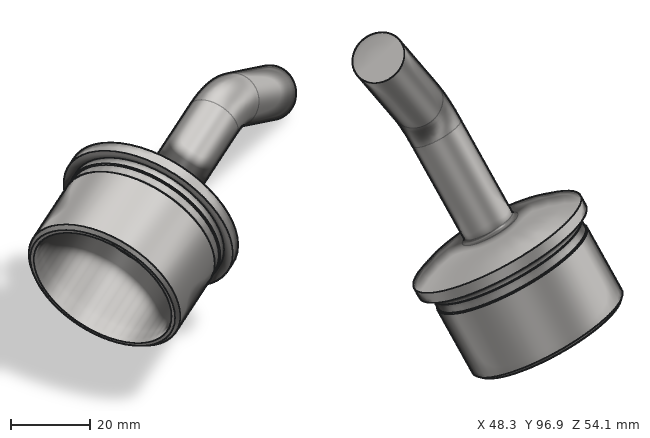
import cadquery as cq
import math

plug_radius = 43.3 / 2
wall = 2.0
rim_chamfer = 1.0
plug_length = 25.0
cavity_depth = plug_length

groove_start = 20.0
groove_width = 3.0
groove_depth = 0.3

flange_radius = 48.3 / 2
flange_thickness = 3.0
dome_height = 4.0
dome_flat_radius = 7.5

rod_radius = 7.0
rod_fillet = 1.0
bend_angle = 45.0
bend_radius = 15.0
overall_length = 96.95
tip_drop = 29.97

flange_top = plug_length + flange_thickness
dome_top = flange_top + dome_height
groove_end = groove_start + groove_width


def dome_mid_point():
    """Point halfway along the dome arc, which leaves the flat top tangentially."""
    span = flange_radius - dome_flat_radius
    arc_radius = (span**2 + dome_height**2) / (2 * dome_height)
    half_sweep = math.asin(span / arc_radius) / 2
    return (
        dome_flat_radius + arc_radius * math.sin(half_sweep),
        dome_top - arc_radius * (1 - math.cos(half_sweep)),
    )


def make_head():
    """Hollow plug, groove, flange and domed cap, turned about the Y axis."""
    bore_radius = plug_radius - wall
    groove_radius = plug_radius - groove_depth
    profile = (
        cq.Workplane("XY")
        .moveTo(0, cavity_depth)
        .lineTo(bore_radius, cavity_depth)
        .lineTo(bore_radius, 0)
        .lineTo(plug_radius - rim_chamfer, 0)
        .lineTo(plug_radius, rim_chamfer)
        .lineTo(plug_radius, groove_start)
        .lineTo(groove_radius, groove_start + groove_depth)
        .lineTo(groove_radius, groove_end - groove_depth)
        .lineTo(plug_radius, groove_end)
        .lineTo(plug_radius, plug_length)
        .lineTo(flange_radius, plug_length)
        .lineTo(flange_radius, flange_top)
        .threePointArc(dome_mid_point(), (dome_flat_radius, dome_top))
        .lineTo(0, dome_top)
        .close()
    )
    return profile.revolve(360, (0, 0, 0), (0, 1, 0))


def make_rod():
    """Round rod leaving the dome along +Y, then bent down towards -Z."""
    sin_bend = math.sin(math.radians(bend_angle))
    cos_bend = math.cos(math.radians(bend_angle))
    bend_rise = bend_radius * sin_bend
    bend_drop = bend_radius * (1 - cos_bend)

    tip_y = overall_length - rod_radius * sin_bend
    tip_z = rod_radius * cos_bend - tip_drop
    leg_length = (-tip_z - bend_drop) / sin_bend
    bend_start = tip_y - leg_length * cos_bend - bend_rise

    half_bend = math.radians(bend_angle / 2)
    bend_middle = (
        bend_start + bend_radius * math.sin(half_bend),
        -bend_radius * (1 - math.cos(half_bend)),
    )
    path = (
        cq.Workplane("YZ")
        .moveTo(dome_top, 0)
        .lineTo(bend_start, 0)
        .threePointArc(bend_middle, (bend_start + bend_rise, -bend_drop))
        .lineTo(tip_y, tip_z)
    )
    section = cq.Workplane("XZ", origin=(0, dome_top, 0)).circle(rod_radius)
    return section.sweep(path)


def round_rod_root(part):
    """Concave fillet where the rod meets the top of the dome."""
    margin = rod_fillet / 10
    reach = rod_radius + margin
    root_edge = cq.selectors.BoxSelector(
        (-reach, dome_top - margin, -reach),
        (reach, dome_top + margin, reach),
        boundingbox=True,
    )
    return part.edges(root_edge).fillet(rod_fillet)


result = round_rod_root(make_head().union(make_rod()))